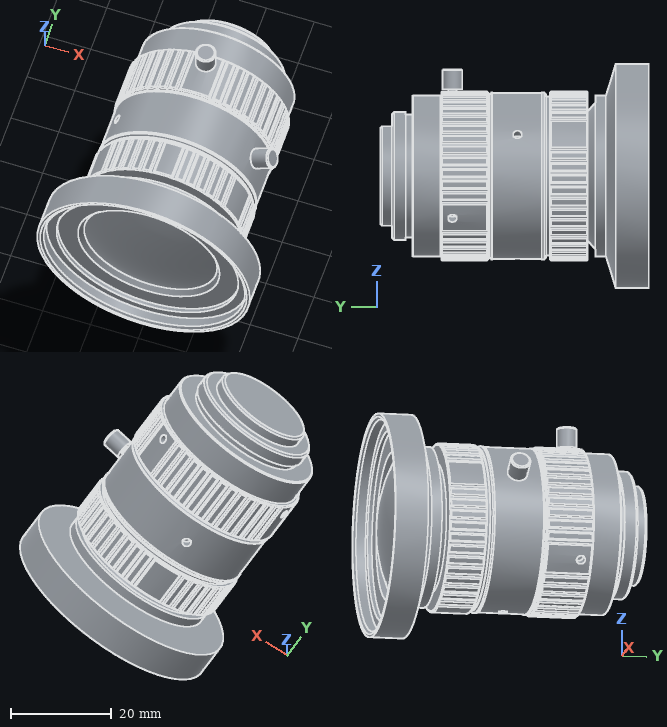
import cadquery as cq
import math


length = 53.25
hood_dia = 44.5
barrel_dia = 32.0
waist_front_dia = 29.2
waist_rear_dia = 25.8
ring_dia = 33.6
front_gap_dia = 31.6
band_gap_dia = 31.0
barrel_gap_dia = 30.5
band_dia = 32.9
band_rim_dia = 33.2
neck_dia = 24.4
flange_dia = 25.4
mount_dia = 19.8

hood_end = 6.6
hood_cone_end = 8.5
collar_end = 10.6
front_ring_start = 12.1
front_ring_end = 19.6
band_start = 20.35
band_front_rim_end = 21.2
band_rear_rim_start = 31.05
band_end = 31.65
rear_ring_start = 31.85
rear_ring_end = 41.2
barrel_start = 41.35
barrel_end = 46.95
neck_end = 48.2
flange_end = 50.9

barrel_chamfer = 0.2
mount_chamfer = 0.4
band_chamfer = 0.4
ring_chamfer = 0.25

mouth_dia = 43.2
hood_bore_dia = 42.1
step_dia = 38.05
seat_dia = 29.6
lens_dia = 27.8
mouth_depth = 0.55
hood_bore_depth = 2.45
step_depth = 3.35
lens_edge_depth = 4.5
lens_apex_depth = 1.05

groove_pitch_angle = 8.0
groove_depth = 0.3
groove_floor_width = 0.55
pads_per_ring = 3
pad_spacing_angle = 360.0 / pads_per_ring
pad_to_groove_angle = 1.5 * groove_pitch_angle
grooves_per_group = 13
front_pad_angle = 30.0
rear_pad_angle = 90.0
index_land_angle = 90.0

screw_head_dia = 4.0
screw_hole_dia = 1.7
screw_head_base = 17.15
screw_head_top = 21.2
screw_chamfer = 0.25
screw_hole_depth = 2.15
rear_screw_station = 38.95
band_screw_station = 26.05
rear_screw_angle = rear_pad_angle
band_screw_angle = 30.0


def around_axis(shape, angle):
    """Turn a shape built along +Z to the given angle around the lens axis."""
    return shape.rotate((0, 0, 0), (0, 1, 0), 90 - angle)


def disc(diameter, start, end):
    """Cylinder on the lens axis between two stations."""
    plane = cq.Workplane("XZ", origin=(0, start, 0))
    return plane.circle(diameter / 2).extrude(start - end)


def cone(start_dia, start, end_dia, end):
    """Truncated cone on the lens axis between two stations."""
    outline = cq.Workplane("XY").moveTo(0, start).lineTo(start_dia / 2, start)
    outline = outline.lineTo(end_dia / 2, end).lineTo(0, end).close()
    return outline.revolve(360, (0, 0, 0), (0, 1, 0))


def hood_recess():
    """Stepped recess in the hood, down to the domed front lens."""
    lens_radius = lens_dia / 2
    lens_rise = lens_edge_depth - lens_apex_depth
    sphere_radius = (lens_radius**2 + lens_rise**2) / (2 * lens_rise)
    mid_x = lens_radius / 2
    mid_depth = lens_apex_depth + sphere_radius - math.sqrt(sphere_radius**2 - mid_x**2)
    outline = (
        cq.Workplane("XY")
        .moveTo(0, 0)
        .lineTo(mouth_dia / 2, 0)
        .lineTo(hood_bore_dia / 2, mouth_depth)
        .lineTo(hood_bore_dia / 2, hood_bore_depth)
        .lineTo(step_dia / 2, hood_bore_depth)
        .lineTo(step_dia / 2, step_depth)
        .lineTo(seat_dia / 2, step_depth)
        .lineTo(lens_radius, lens_edge_depth)
        .threePointArc((mid_x, mid_depth), (0, lens_apex_depth))
        .close()
    )
    return outline.revolve(360, (0, 0, 0), (0, 1, 0))


def grip_ring(start, end, pad_angle, land_angle=None):
    """Grooved ring with smooth pads; the groove at land_angle is left out."""
    ring = disc(ring_dia, start, end).faces("<Y or >Y").chamfer(ring_chamfer)
    floor_z = ring_dia / 2 - groove_depth
    cutter_height = 2 * groove_depth
    cutter_top = groove_floor_width / 2 + cutter_height
    groove = (
        cq.Workplane("XZ", origin=(0, start, 0))
        .moveTo(-groove_floor_width / 2, floor_z)
        .lineTo(groove_floor_width / 2, floor_z)
        .lineTo(cutter_top, floor_z + cutter_height)
        .lineTo(-cutter_top, floor_z + cutter_height)
        .close()
        .extrude(start - end)
    )
    for pad in range(pads_per_ring):
        first_angle = pad_angle + pad * pad_spacing_angle + pad_to_groove_angle
        for index in range(grooves_per_group):
            angle = first_angle + index * groove_pitch_angle
            if angle != land_angle:
                ring = ring.cut(around_axis(groove, angle))
    return ring


def screw(station, angle):
    """Radial locking screw: slim shank under a chamfered cylindrical head."""
    plane = cq.Workplane("XY", origin=(0, station, 0))
    head = plane.workplane(offset=screw_head_base).circle(screw_head_dia / 2)
    head = head.extrude(screw_head_top - screw_head_base).faces(">Z").chamfer(screw_chamfer)
    shank_base = band_dia / 2 - screw_hole_depth
    shank = plane.workplane(offset=shank_base).circle(screw_hole_dia / 2)
    shank = shank.extrude(screw_head_base - shank_base)
    return around_axis(head.union(shank), angle)


def screw_hole(station, angle, surface_dia):
    """Blind radial hole cut from the given surface diameter."""
    floor = surface_dia / 2 - screw_hole_depth
    plane = cq.Workplane("XY", origin=(0, station, floor))
    return around_axis(plane.circle(screw_hole_dia / 2).extrude(2 * screw_hole_depth), angle)


body = disc(hood_dia, 0, hood_end)
body = body.union(cone(hood_dia, hood_end, barrel_dia, hood_cone_end))
body = body.union(disc(barrel_dia, hood_cone_end, collar_end))
body = body.union(cone(waist_front_dia, collar_end, waist_rear_dia, front_ring_start))
body = body.cut(hood_recess())

front_rim = disc(band_rim_dia, band_start, band_front_rim_end)
rear_rim = disc(band_rim_dia, band_rear_rim_start, band_end)
body = body.union(disc(front_gap_dia, front_ring_end, band_start))
body = body.union(disc(band_dia, band_front_rim_end, band_rear_rim_start))
body = body.union(front_rim.faces("<Y").chamfer(band_chamfer))
body = body.union(rear_rim.faces(">Y").chamfer(band_chamfer))
body = body.union(disc(band_gap_dia, band_end, rear_ring_start))

rear_barrel = disc(barrel_dia, barrel_start, barrel_end)
flange = disc(flange_dia, neck_end, flange_end)
mount = disc(mount_dia, flange_end, length)
body = body.union(disc(barrel_gap_dia, rear_ring_end, barrel_start))
body = body.union(rear_barrel.faces(">Y").chamfer(barrel_chamfer))
body = body.union(disc(neck_dia, barrel_end, neck_end))
body = body.union(flange.faces(">Y").chamfer(mount_chamfer))
body = body.union(mount.faces(">Y").chamfer(mount_chamfer))

body = body.union(grip_ring(front_ring_start, front_ring_end, front_pad_angle, index_land_angle))
body = body.union(grip_ring(rear_ring_start, rear_ring_end, rear_pad_angle))

screw_sets = (
    (rear_screw_station, rear_screw_angle, ring_dia),
    (band_screw_station, band_screw_angle, band_dia),
)
for station, screw_angle, surface_dia in screw_sets:
    body = body.union(screw(station, screw_angle))
    for turn in range(1, pads_per_ring):
        hole_angle = screw_angle + turn * pad_spacing_angle
        body = body.cut(screw_hole(station, hole_angle, surface_dia))

result = body